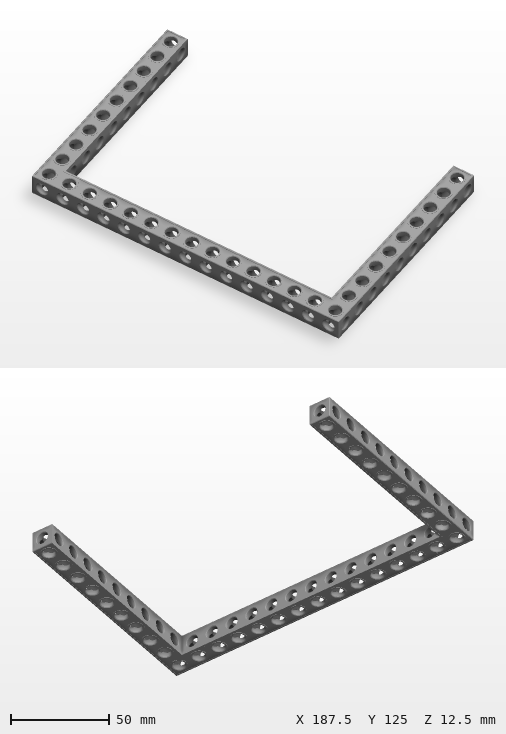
import cadquery as cq

LENGTH = 187.5
CELLS_ACROSS = 15
CELLS_DEEP = 10
PITCH = LENGTH / CELLS_ACROSS
BEAM = PITCH
DEPTH = CELLS_DEEP * PITCH
HALF_HEIGHT = BEAM / 2

HOLE_DIAMETER = 7.0
HOLE_CHAMFER = 0.34
EDGE_CHAMFER = 0.3
RIM_WIDTH = 1.0
PANEL_DEPTH = 0.2
RING_DIAMETER = 9.2

COLUMN_X = [(i - (CELLS_ACROSS - 1) / 2) * PITCH for i in range(CELLS_ACROSS)]
ROW_Y = [(i - (CELLS_DEEP - 1) / 2) * PITCH for i in range(CELLS_DEEP)]
ARM_X = (COLUMN_X[0], COLUMN_X[-1])
CROSS_Y = ROW_Y[0]

CROSS_CELLS = [(x, CROSS_Y) for x in COLUMN_X]
ARM_CELLS = [(x, y) for x in ARM_X for y in ROW_Y[1:]]
ALL_CELLS = CROSS_CELLS + ARM_CELLS

AXIS_X = cq.Vector(1, 0, 0)
AXIS_Y = cq.Vector(0, 1, 0)
AXIS_Z = cq.Vector(0, 0, 1)


def u_prism(inset, bottom, height):
    """U-shaped prism open towards +Y, its outline moved inward by inset."""
    outer_x = LENGTH / 2 - inset
    inner_x = LENGTH / 2 - BEAM + inset
    front_y = -DEPTH / 2 + inset
    inner_y = -DEPTH / 2 + BEAM - inset
    back_y = DEPTH / 2 - inset
    outline = [
        (-outer_x, front_y),
        (outer_x, front_y),
        (outer_x, back_y),
        (inner_x, back_y),
        (inner_x, inner_y),
        (-inner_x, inner_y),
        (-inner_x, back_y),
        (-outer_x, back_y),
    ]
    return cq.Workplane("XY", origin=(0, 0, bottom)).polyline(outline).close().extrude(height)


def make_frame():
    """U-shaped frame; only the edges of its outer box are chamfered."""
    box = cq.Workplane("XY").box(LENGTH, DEPTH, BEAM).edges().chamfer(EDGE_CHAMFER)
    return box.intersect(u_prism(0, -HALF_HEIGHT, BEAM))


def make_panel_cut():
    """Shallow recess in the top face, leaving a rim and a ring around each hole."""
    bottom = HALF_HEIGHT - PANEL_DEPTH
    rings = (
        cq.Workplane("XY", origin=(0, 0, bottom))
        .pushPoints(ALL_CELLS)
        .circle(RING_DIAMETER / 2)
        .extrude(PANEL_DEPTH)
    )
    return u_prism(RIM_WIDTH, bottom, PANEL_DEPTH).cut(rings)


def make_hole(centre, axis, length):
    """Cutter for a through hole of the given length, chamfered at both mouths."""
    radius = HOLE_DIAMETER / 2
    mouth = radius + HOLE_CHAMFER
    start = cq.Vector(*centre) - axis * (length / 2)
    end = cq.Vector(*centre) + axis * (length / 2)
    bore = cq.Solid.makeCylinder(radius, length, start, axis)
    start_cone = cq.Solid.makeCone(mouth, radius, HOLE_CHAMFER, start, axis)
    end_cone = cq.Solid.makeCone(mouth, radius, HOLE_CHAMFER, end, axis * -1)
    return bore.fuse(start_cone, end_cone)


def cut_holes(body, centres, axis, length):
    """Cut one hole at every centre."""
    holes = [make_hole(centre, axis, length) for centre in centres]
    return body.cut(cq.Workplane(cq.Compound.makeCompound(holes)))


frame = make_frame()

panel = make_panel_cut()
frame = frame.cut(panel).cut(panel.mirror("XY"))

frame = cut_holes(frame, [(x, y, 0) for x, y in ALL_CELLS], AXIS_Z, BEAM)

frame = cut_holes(frame, [(x, y, 0) for x, y in CROSS_CELLS[1:-1]], AXIS_Y, BEAM)
frame = cut_holes(frame, [(x, 0, 0) for x in ARM_X], AXIS_Y, DEPTH)

frame = cut_holes(frame, [(x, y, 0) for x, y in ARM_CELLS], AXIS_X, BEAM)
frame = cut_holes(frame, [(0, CROSS_Y, 0)], AXIS_X, LENGTH)

result = frame